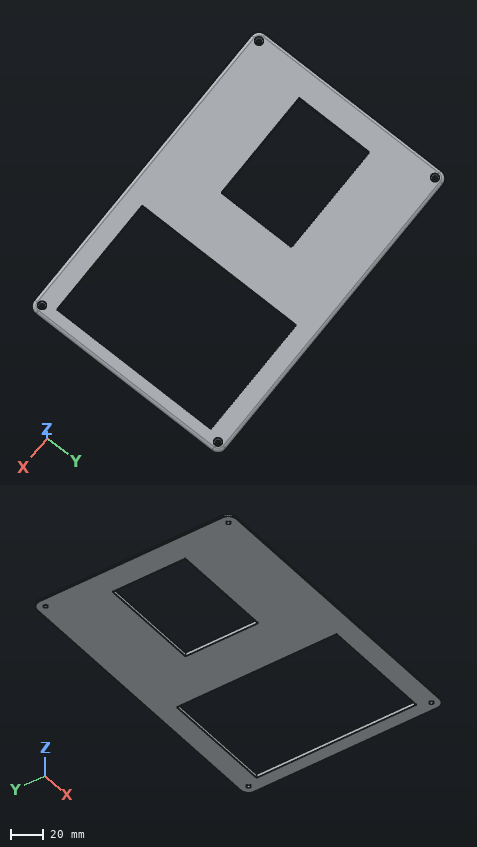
import cadquery as cq

length = 228.5
width = 152.5
thickness = 3.2
corner_radius = 6.5
rim_radius = 2.5

hole_diameter = 2.7
countersink_diameter = 5.3
countersink_angle = 90
hole_spacing_x = length - 2 * corner_radius
hole_spacing_y = width - 2 * corner_radius

small_window_length = 77.3
small_window_width = 55.3
small_window_center_x = -56.5
large_window_length = 84.5
large_window_width = 121.8
large_window_center_x = 61.7


def rounded_plate():
    """Plate with rounded corners and a rounded upper rim, resting on Z = 0."""
    plate = cq.Workplane("XY").box(length, width, thickness, centered=(True, True, False))
    return plate.edges("|Z").fillet(corner_radius).faces(">Z").edges().fillet(rim_radius)


def window(window_length, window_width, center_x):
    """Cutter for a rectangular window through the plate."""
    return (
        cq.Workplane("XY")
        .center(center_x, 0)
        .rect(window_length, window_width)
        .extrude(thickness)
    )


def add_screw_holes(plate):
    """Cut a countersunk through hole at each corner."""
    return (
        plate.faces(">Z")
        .workplane(origin=(0, 0, thickness))
        .rect(hole_spacing_x, hole_spacing_y, forConstruction=True)
        .vertices()
        .cskHole(hole_diameter, countersink_diameter, countersink_angle)
    )


result = add_screw_holes(rounded_plate())
result = result.cut(window(small_window_length, small_window_width, small_window_center_x))
result = result.cut(window(large_window_length, large_window_width, large_window_center_x))